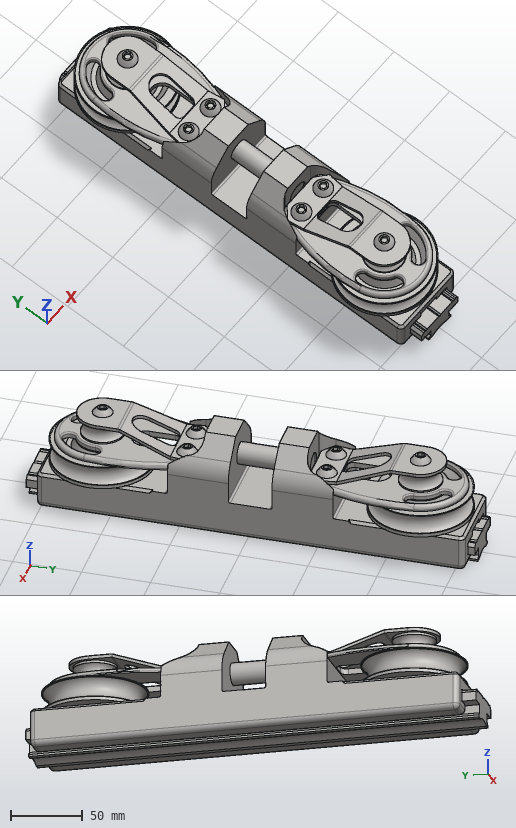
import cadquery as cq
import math


rail_length = 325.0
rail_shift = -2.5
rail_head_half = 20.1
rail_head_bottom = 9.8
rail_head_top = 18.6
rail_head_chamfer = 2.4
rail_neck_half = 10.0
rail_foot_half = 12.3
rail_foot_height = 1.5
rail_hollow_half = 8.0
rail_hollow_depth = 2.0
rail_groove_half = 1.2
rail_groove_depth = 1.0
rail_groove_x = (-15.1, 0.0, 15.1)

body_half_width = 30.0
body_length = 310.0
body_bottom = 1.7
deck_z = 29.0
edge_fillet = 4.0
deck_chamfer = 2.0
plain_deck_half = 73.0
lip_half = 12.3
lip_chamfer_z = 6.5
lip_mouth_half = 15.0
channel_half = 8.4
channel_top = 21.6

block_inner_y = 15.8
block_outer_y = 60.0
block_top = 72.3
shoulder_z = 45.0
shoulder_radius = 20.0
shoulder_angle = 45.0
foot_fillet = 1.5
pin_diameter = 16.0
pin_hole_diameter = 16.2
pin_z = 52.0
pin_recess = 1.0

sheave_y = 115.2
plate_bottom = 47.8
plate_top = 52.0
plate_radius = 33.8
plate_edge_fillet = 3.2
taper_offset_y = 4.4
taper_radius = 141.0
taper_end_y = 47.2
plate_end_y = 37.5
plate_end_half = 14.0
window_radius = 24.2
window_width = 10.0
window_sweep = 60.0
window_fillet = 1.2

sheave_radius = 37.5
sheave_throat_radius = 32.4
groove_lower_radius = 36.8
groove_upper_radius = 36.6
sheave_lower_flange_top = 31.7
sheave_upper_flange_bottom = 46.2
sheave_top = 46.9
dish_depth = 6.0
dish_outer_radius = 30.3
dish_floor_outer = 25.6
dish_floor_inner = 22.0
dish_inner_radius = 19.0

small_radius = 15.6
small_throat_radius = 12.5
small_flange = 1.2
small_top_flange_bottom = 64.2
strap_bottom = 66.0

strap_thickness = 2.5
strap_radius = 18.2
strap_foot_half = 21.6
strap_bend_top_y = 98.4
strap_bend_foot_y = 60.2
strap_bend_radius = 5.5
strap_rim = 1.8
opening_half = 9.5
opening_far_y = 93.5
opening_near_y = 60.6
opening_near_radius = 4.5

head_radius = 7.3
head_tip_radius = 3.7
head_bulge = 0.2
pad_head_height = 4.4
front_head_height = 3.9
rear_head_height = 4.5
socket_corners = 5.6
socket_depth = 2.5
pad_screw_x = 12.1
pad_screw_y = 50.6
axle_diameter = 8.0
axle_end_z = 19.2

strap_top = strap_bottom + strap_thickness
pad_top = plate_top + strap_thickness


def build_rail():
    flare_top = rail_foot_height + rail_foot_half - rail_neck_half
    rail = (
        cq.Workplane("XZ", origin=(0, rail_shift + rail_length / 2, 0))
        .moveTo(-rail_hollow_half, 0)
        .threePointArc((0, rail_hollow_depth), (rail_hollow_half, 0))
        .lineTo(rail_foot_half, 0)
        .lineTo(rail_foot_half, rail_foot_height)
        .lineTo(rail_neck_half, flare_top)
        .lineTo(rail_neck_half, rail_head_bottom)
        .lineTo(rail_head_half, rail_head_bottom)
        .lineTo(rail_head_half, rail_head_top - rail_head_chamfer)
        .lineTo(rail_head_half - rail_head_chamfer, rail_head_top)
        .lineTo(rail_head_chamfer - rail_head_half, rail_head_top)
        .lineTo(-rail_head_half, rail_head_top - rail_head_chamfer)
        .lineTo(-rail_head_half, rail_head_bottom)
        .lineTo(-rail_neck_half, rail_head_bottom)
        .lineTo(-rail_neck_half, flare_top)
        .lineTo(-rail_foot_half, rail_foot_height)
        .lineTo(-rail_foot_half, 0)
        .close()
        .extrude(rail_length)
    )
    for x in rail_groove_x:
        groove = (
            cq.Workplane("XZ", origin=(x, rail_shift + rail_length / 2, rail_head_top))
            .moveTo(-rail_groove_half, 0)
            .lineTo(0, -rail_groove_depth)
            .lineTo(rail_groove_half, 0)
            .close()
            .extrude(rail_length)
        )
        rail = rail.cut(groove)
    return rail


def build_base():
    base = (
        cq.Workplane("XY", origin=(0, 0, body_bottom))
        .rect(2 * body_half_width, body_length)
        .extrude(deck_z - body_bottom)
        .edges("|Z or <Z").fillet(edge_fillet)
        .faces(">Z").edges().chamfer(deck_chamfer)
    )
    slope_foot = deck_z - deck_chamfer
    plain_deck = (
        cq.Workplane("YZ", origin=(-body_half_width, 0, 0))
        .moveTo(-plain_deck_half, slope_foot)
        .lineTo(plain_deck_half, slope_foot)
        .lineTo(plain_deck_half - deck_chamfer, deck_z)
        .lineTo(deck_chamfer - plain_deck_half, deck_z)
        .close()
        .extrude(2 * body_half_width)
    )
    return base.union(plain_deck)


def rail_slot():
    return (
        cq.Workplane("XZ", origin=(0, body_length / 2, 0))
        .moveTo(-lip_mouth_half, body_bottom)
        .lineTo(-lip_half, lip_chamfer_z)
        .lineTo(-lip_half, rail_head_bottom)
        .lineTo(-rail_head_half, rail_head_bottom)
        .lineTo(-rail_head_half, rail_head_top)
        .lineTo(-channel_half, rail_head_top)
        .lineTo(-channel_half, channel_top)
        .lineTo(channel_half, channel_top)
        .lineTo(channel_half, rail_head_top)
        .lineTo(rail_head_half, rail_head_top)
        .lineTo(rail_head_half, rail_head_bottom)
        .lineTo(lip_half, rail_head_bottom)
        .lineTo(lip_half, lip_chamfer_z)
        .lineTo(lip_mouth_half, body_bottom)
        .close()
        .extrude(body_length)
    )


def build_cheek_block():
    slope = math.radians(shoulder_angle)
    half_slope = slope / 2
    arc_x = body_half_width - shoulder_radius
    shoulder_mid = (
        arc_x + shoulder_radius * math.cos(half_slope),
        shoulder_z + shoulder_radius * math.sin(half_slope),
    )
    shoulder_end = (
        arc_x + shoulder_radius * math.cos(slope),
        shoulder_z + shoulder_radius * math.sin(slope),
    )
    top_half = shoulder_end[0] - (block_top - shoulder_end[1]) / math.tan(slope)
    return (
        cq.Workplane("XZ", origin=(0, block_outer_y, 0))
        .moveTo(body_half_width, deck_z - deck_chamfer)
        .lineTo(body_half_width, shoulder_z)
        .threePointArc(shoulder_mid, shoulder_end)
        .lineTo(top_half, block_top)
        .lineTo(-top_half, block_top)
        .lineTo(-shoulder_end[0], shoulder_end[1])
        .threePointArc((-shoulder_mid[0], shoulder_mid[1]), (-body_half_width, shoulder_z))
        .lineTo(-body_half_width, deck_z - deck_chamfer)
        .close()
        .extrude(block_outer_y - block_inner_y)
    )


def foot_strip(wall_y, direction):
    """Concave fillet where a block wall meets the deck."""
    reach = direction * foot_fillet
    sag = foot_fillet * (1 - math.sqrt(0.5))
    return (
        cq.Workplane("YZ", origin=(-body_half_width, 0, 0))
        .moveTo(wall_y, deck_z)
        .lineTo(wall_y + reach, deck_z)
        .threePointArc((wall_y + direction * sag, deck_z + sag), (wall_y, deck_z + foot_fillet))
        .close()
        .extrude(2 * body_half_width)
    )


def plate_outline(z):
    """Plan outline of the guide plate: round far end, tapering sides, blunt near end."""
    start_angle = math.asin(taper_offset_y / plate_radius)
    centre_reach = taper_radius - plate_radius
    centre_x = -centre_reach * math.cos(start_angle)
    centre_y = sheave_y - centre_reach * math.sin(start_angle)
    end_angle = math.asin((taper_end_y - centre_y) / taper_radius)
    mid_angle = (start_angle + end_angle) / 2

    def on_taper(angle):
        return (
            centre_x + taper_radius * math.cos(angle),
            centre_y + taper_radius * math.sin(angle),
        )

    start_x, start_y = on_taper(start_angle)
    mid_x, mid_y = on_taper(mid_angle)
    end_x, end_y = on_taper(end_angle)
    return (
        cq.Workplane("XY", origin=(0, 0, z))
        .moveTo(start_x, start_y)
        .threePointArc((0, sheave_y + plate_radius), (-start_x, start_y))
        .threePointArc((-mid_x, mid_y), (-end_x, end_y))
        .tangentArcPoint((-plate_end_half, plate_end_y), relative=False)
        .lineTo(plate_end_half, plate_end_y)
        .threePointArc(*blunt_corner(end_x))
        .threePointArc((mid_x, mid_y), (start_x, start_y))
        .close()
    )


def blunt_corner(end_x):
    """Middle and end of the right-hand corner arc, which leaves the blunt end tangentially."""
    across = end_x - plate_end_half
    rise = taper_end_y - plate_end_y
    radius = (across**2 + rise**2) / (2 * rise)
    half_angle = math.atan2(rise, across)
    mid = (
        plate_end_half + radius * math.sin(half_angle),
        plate_end_y + radius * (1 - math.cos(half_angle)),
    )
    return mid, (end_x, taper_end_y)


def window_cutter(start_angle):
    """Curved slot with round ends about the sheave axis."""
    def polar(radius, angle):
        turn = math.radians(angle)
        return radius * math.cos(turn), sheave_y + radius * math.sin(turn)

    inner = window_radius - window_width / 2
    outer = window_radius + window_width / 2
    end_angle = start_angle + window_sweep
    mid_angle = start_angle + window_sweep / 2
    cap = math.degrees(window_width / 2 / window_radius)
    return (
        cq.Workplane("XY", origin=(0, 0, plate_bottom))
        .moveTo(*polar(outer, start_angle))
        .threePointArc(polar(outer, mid_angle), polar(outer, end_angle))
        .threePointArc(polar(window_radius, end_angle + cap), polar(inner, end_angle))
        .threePointArc(polar(inner, mid_angle), polar(inner, start_angle))
        .threePointArc(polar(window_radius, start_angle - cap), polar(outer, start_angle))
        .close()
        .extrude(plate_top - plate_bottom)
    )


def build_plate():
    plate = (
        plate_outline(plate_bottom)
        .extrude(plate_top - plate_bottom)
        .faces(">Z").edges().fillet(plate_edge_fillet)
    )
    for start_angle in (0, 180 - window_sweep):
        plate = plate.cut(window_cutter(start_angle))
    window_rims = [rim for wire in plate.faces(">Z").val().innerWires() for rim in wire.Edges()]
    return plate.newObject(window_rims).fillet(window_fillet)


def opening_cutter():
    """Rope opening through the strap and the plate: round far end, small corners near the block."""
    far_y = opening_far_y - opening_half
    round_end = (
        cq.Workplane("XY", origin=(0, far_y, plate_bottom))
        .circle(opening_half)
        .extrude(strap_top - plate_bottom)
    )
    return (
        cq.Workplane("XY", origin=(0, (far_y + opening_near_y) / 2, plate_bottom))
        .rect(2 * opening_half, far_y - opening_near_y)
        .extrude(strap_top - plate_bottom)
        .edges("|Z and <Y").fillet(opening_near_radius)
        .union(round_end)
    )


def build_strap():
    near_y = plate_end_y + strap_rim
    far_y = sheave_y + strap_radius
    side = (
        cq.Workplane("YZ", origin=(-plate_radius, 0, 0))
        .moveTo(near_y, plate_top)
        .lineTo(strap_bend_foot_y, plate_top)
        .lineTo(strap_bend_top_y, strap_bottom)
        .lineTo(far_y, strap_bottom)
        .lineTo(far_y, strap_top)
        .lineTo(strap_bend_top_y, strap_top)
        .lineTo(strap_bend_foot_y, pad_top)
        .lineTo(near_y, pad_top)
        .close()
        .extrude(2 * plate_radius)
    )
    outer_bend = cq.NearestToPointSelector((0, strap_bend_top_y, strap_top))
    inner_bend = cq.NearestToPointSelector((0, strap_bend_top_y, strap_bottom))
    side = (
        side
        .edges(outer_bend).fillet(strap_bend_radius)
        .edges(inner_bend).fillet(strap_bend_radius - strap_thickness)
    )
    plan = (
        cq.Workplane("XY", origin=(0, 0, plate_top))
        .moveTo(strap_radius, sheave_y)
        .threePointArc((0, far_y), (-strap_radius, sheave_y))
        .lineTo(-strap_radius, strap_bend_top_y)
        .lineTo(-strap_foot_half, strap_bend_foot_y)
        .lineTo(-strap_foot_half - strap_rim, taper_end_y)
        .lineTo(-plate_end_half, near_y)
        .lineTo(plate_end_half, near_y)
        .lineTo(strap_foot_half + strap_rim, taper_end_y)
        .lineTo(strap_foot_half, strap_bend_foot_y)
        .lineTo(strap_radius, strap_bend_top_y)
        .close()
        .extrude(strap_top - plate_top)
    )
    inside_plate = plate_outline(plate_top).extrude(strap_top - plate_top)
    return side.intersect(plan).intersect(inside_plate)


def turned(profile):
    """Turn a radius/height profile about the sheave axis."""
    return profile.close().revolve(360, (0, 0, 0), (0, 1, 0)).translate((0, sheave_y, 0))


def build_large_sheave():
    throat_z = (sheave_lower_flange_top + sheave_upper_flange_bottom) / 2
    return turned(
        cq.Workplane("XZ")
        .moveTo(0, deck_z)
        .lineTo(sheave_radius, deck_z)
        .lineTo(sheave_radius, sheave_lower_flange_top)
        .lineTo(groove_lower_radius, sheave_lower_flange_top)
        .threePointArc((sheave_throat_radius, throat_z), (groove_upper_radius, sheave_upper_flange_bottom))
        .lineTo(sheave_radius, sheave_upper_flange_bottom)
        .lineTo(sheave_radius, sheave_top)
        .lineTo(dish_outer_radius, sheave_top)
        .lineTo(dish_floor_outer, sheave_top - dish_depth)
        .lineTo(dish_floor_inner, sheave_top - dish_depth)
        .lineTo(dish_inner_radius, sheave_top)
        .lineTo(dish_inner_radius, plate_bottom)
        .lineTo(0, plate_bottom)
    )


def build_small_sheave():
    groove_bottom = plate_top + small_flange
    throat_z = (groove_bottom + small_top_flange_bottom) / 2
    return turned(
        cq.Workplane("XZ")
        .moveTo(0, plate_top)
        .lineTo(small_radius, plate_top)
        .lineTo(small_radius, groove_bottom)
        .threePointArc((small_throat_radius, throat_z), (small_radius, small_top_flange_bottom))
        .lineTo(small_radius, strap_bottom)
        .lineTo(0, strap_bottom)
    )


def screw_head(x, y, seat_z, height):
    """Button head with a hexagon socket."""
    bulge = ((head_radius + head_tip_radius) / 2 + head_bulge, height / 2 + head_bulge)
    return (
        cq.Workplane("XZ")
        .lineTo(head_radius, 0)
        .threePointArc(bulge, (head_tip_radius, height))
        .lineTo(0, height)
        .close()
        .revolve(360, (0, 0, 0), (0, 1, 0))
        .faces(">Z").workplane()
        .polygon(6, socket_corners).cutBlind(-socket_depth)
        .translate((x, y, seat_z))
    )


def build_end(axle_head_height):
    pocket = plate_outline(plate_bottom).extrude(block_top - plate_bottom)
    pin_mouth = (
        cq.Workplane("XZ", origin=(0, plate_end_y, pin_z))
        .circle(pin_hole_diameter / 2)
        .extrude(pin_recess)
    )
    axle = (
        cq.Workplane("XY", origin=(0, sheave_y, axle_end_z))
        .circle(axle_diameter / 2)
        .extrude(deck_z - axle_end_z)
    )
    end = (
        build_cheek_block()
        .union(foot_strip(block_inner_y, -1))
        .union(foot_strip(block_outer_y, 1))
        .cut(pocket)
        .cut(pin_mouth)
        .union(build_plate())
        .union(build_strap())
        .cut(opening_cutter())
        .union(build_large_sheave())
        .union(build_small_sheave())
        .union(axle)
        .union(screw_head(0, sheave_y, strap_top, axle_head_height))
    )
    for x in (-pad_screw_x, pad_screw_x):
        end = end.union(screw_head(x, pad_screw_y, pad_top, pad_head_height))
    return end


def build_carriage():
    pin = (
        cq.Workplane("XZ", origin=(0, block_inner_y, pin_z))
        .circle(pin_diameter / 2)
        .extrude(2 * block_inner_y)
    )
    rear_end = build_end(rear_head_height)
    front_end = build_end(front_head_height).mirror("XZ")
    return build_base().cut(rail_slot()).union(rear_end).union(front_end).union(pin)


rail = build_rail()
carriage = build_carriage()
result = cq.Compound.makeCompound([*carriage.solids().vals(), rail.val()])